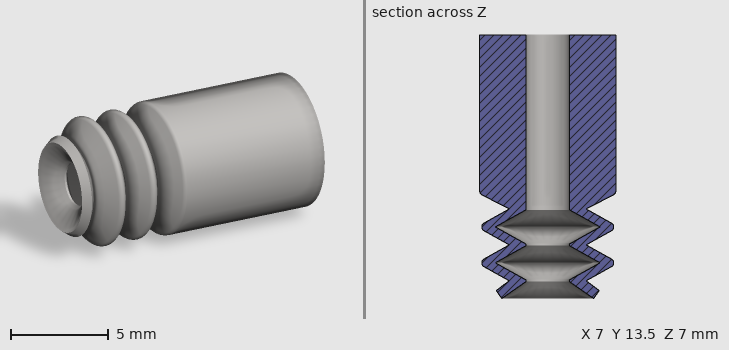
import cadquery as cq
import math

length = 13.5
body_radius = 3.5

valley_radius = 1.98
crest_radius = 3.39
edge_round = 0.23
fold_count = 2
fold_pitch = 1.84
first_valley = 0.92

lip_end_radius = 2.35
lip_radius = 2.65
lip_bevel_length = 0.42

bore_radius = 1.11
land_length = 0.11

half_pitch = fold_pitch / 2
half_land = land_length / 2
last_valley = first_valley + fold_count * fold_pitch
valleys = [first_valley + fold * fold_pitch for fold in range(fold_count)]


def flank_angle(outer_radius):
    """Angle from the radial direction of a flank that rises from a valley
    corner and runs tangent into the rounded edge at outer_radius."""
    centre_offset = outer_radius - edge_round - valley_radius
    centre_direction = math.atan2(half_pitch, centre_offset)
    return centre_direction - math.asin(edge_round / math.hypot(centre_offset, half_pitch))


def round_point(outer_radius, centre_y, angle):
    """Point on an edge rounding, by its angle from the outward radial direction."""
    radius = outer_radius - edge_round + edge_round * math.cos(angle)
    return (radius, centre_y + edge_round * math.sin(angle))


def add_fold(profile, valley_y):
    """Run the outside from one valley over a rounded crest to the next."""
    crest_y = valley_y + half_pitch
    tangent_angle = math.pi / 2 - flank_angle(crest_radius)
    return (
        profile.lineTo(*round_point(crest_radius, crest_y, -tangent_angle))
        .threePointArc(
            (crest_radius, crest_y),
            round_point(crest_radius, crest_y, tangent_angle),
        )
        .lineTo(valley_radius, valley_y + fold_pitch)
    )


def add_shoulder(profile):
    """Run the outside from the last valley round the shoulder onto the body wall."""
    shoulder_y = last_valley + half_pitch
    tangent_angle = math.pi / 2 - flank_angle(body_radius)
    return profile.lineTo(*round_point(body_radius, shoulder_y, -tangent_angle)).threePointArc(
        round_point(body_radius, shoulder_y, -tangent_angle / 2),
        (body_radius, shoulder_y),
    )


def add_inner_fold(profile, valley_y):
    """Run the inside back over one fold, with walls parallel to the outer flanks."""
    flank_rise = half_pitch - half_land
    inner_crest_radius = bore_radius + flank_rise / math.tan(flank_angle(crest_radius))
    return (
        profile.lineTo(bore_radius, valley_y + fold_pitch - half_land)
        .lineTo(inner_crest_radius, valley_y + half_pitch)
        .lineTo(bore_radius, valley_y + half_land)
    )


profile = (
    cq.Workplane("XY")
    .moveTo(lip_end_radius, 0)
    .lineTo(lip_radius, lip_bevel_length)
    .lineTo(valley_radius, first_valley)
)
for valley in valleys:
    profile = add_fold(profile, valley)
profile = add_shoulder(profile).lineTo(body_radius, length)

profile = profile.lineTo(bore_radius, length)
for valley in reversed(valleys):
    profile = add_inner_fold(profile, valley)
profile = profile.lineTo(bore_radius, first_valley - half_land).close()

result = profile.revolve(360, (0, 0, 0), (0, 1, 0))